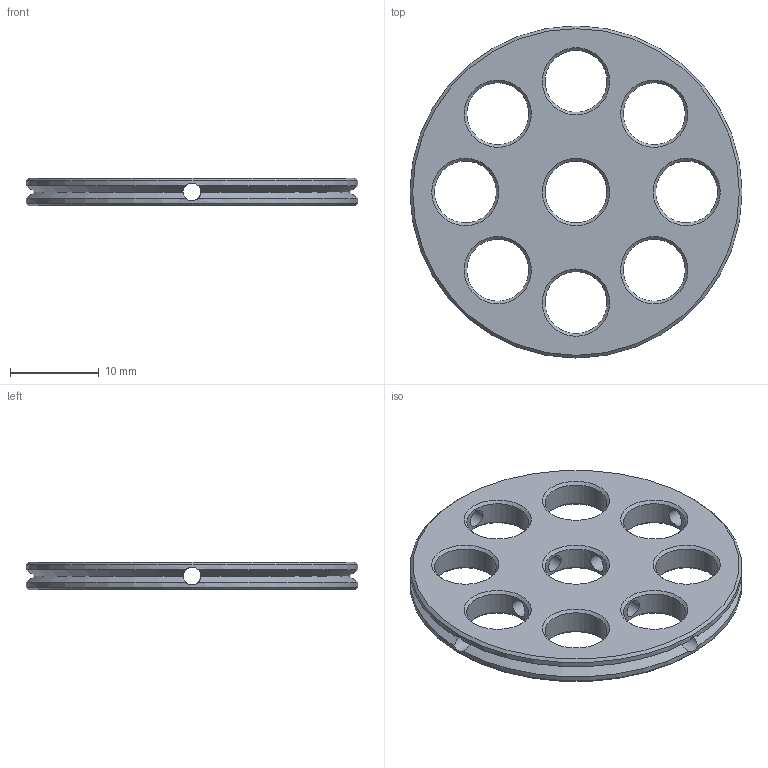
import cadquery as cq
import math

disc_diameter = 37.5
disc_thickness = 3.125
edge_chamfer = 0.3

groove_width = 1.4
groove_depth = 1.0

hole_diameter = 7.0
hole_chamfer = 0.3
ring_hole_count = 8
ring_radius = disc_diameter / 3

cross_hole_diameter = 2.0

disc_radius = disc_diameter / 2
half_thickness = disc_thickness / 2


def make_disc():
    """Grooved, chamfered disc made by revolving its half section about Z."""
    chamfer_radius = disc_radius - edge_chamfer
    chamfer_height = half_thickness - edge_chamfer
    half_groove = groove_width / 2
    section = (
        cq.Workplane("XZ")
        .moveTo(0, -half_thickness)
        .lineTo(chamfer_radius, -half_thickness)
        .lineTo(disc_radius, -chamfer_height)
        .lineTo(disc_radius, -half_groove)
        .lineTo(disc_radius - groove_depth, 0)
        .lineTo(disc_radius, half_groove)
        .lineTo(disc_radius, chamfer_height)
        .lineTo(chamfer_radius, half_thickness)
        .lineTo(0, half_thickness)
        .close()
    )
    return section.revolve(360, (0, 0, 0), (0, 1, 0))


def make_hole_cutter(x, y):
    """Vertical through hole at (x, y), widened by a chamfer at both faces."""
    bore_radius = hole_diameter / 2
    mouth_radius = bore_radius + hole_chamfer
    chamfer_height = half_thickness - hole_chamfer
    section = (
        cq.Workplane("XZ")
        .moveTo(0, -half_thickness)
        .lineTo(mouth_radius, -half_thickness)
        .lineTo(bore_radius, -chamfer_height)
        .lineTo(bore_radius, chamfer_height)
        .lineTo(mouth_radius, half_thickness)
        .lineTo(0, half_thickness)
        .close()
    )
    return section.revolve(360, (0, 0, 0), (0, 1, 0)).translate((x, y, 0))


def make_cross_hole_cutter(axis):
    """Straight hole along the axis, running past the rim at both ends.

    The cylinder's seam is turned to the top, clear of the groove bottom at mid-thickness.
    """
    plane = cq.Plane(origin=(0, 0, 0), xDir=(0, 0, 1), normal=axis)
    return cq.Workplane(plane).circle(cross_hole_diameter / 2).extrude(disc_diameter, both=True)


def hole_centres():
    """Disc centre followed by the evenly spaced ring positions."""
    centres = [(0, 0)]
    for index in range(ring_hole_count):
        angle = 2 * math.pi * index / ring_hole_count
        centres.append((ring_radius * math.cos(angle), ring_radius * math.sin(angle)))
    return centres


result = make_disc()

for centre_x, centre_y in hole_centres():
    result = result.cut(make_hole_cutter(centre_x, centre_y))

for cross_axis in ((1, 0, 0), (0, 1, 0)):
    result = result.cut(make_cross_hole_cutter(cross_axis))